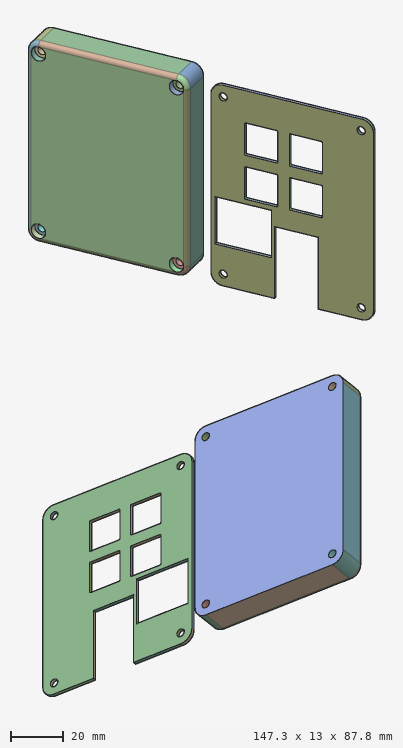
import cadquery as cq

screw_spacing_x = 58.6
screw_spacing_z = 76.7
screw_hole_diameter = 3.4

case_corner_radius = 5.0
case_width = screw_spacing_x + 2 * case_corner_radius
case_height = screw_spacing_z + 2 * case_corner_radius
case_depth = 13.0
case_edge_fillet = 1.9
counterbore_diameter = 6.0
counterbore_depth = 3.0

overall_width = 147.3
overall_height = 87.8
plate_width = 69.0
plate_height = 86.9
plate_thickness = 1.5
plate_corner_radius = 5.0
plate_center_x = overall_width - (case_width + plate_width) / 2
plate_center_z = overall_height - (case_height + plate_height) / 2

key_opening = 14.0
key_pitch = 19.0
key_corner_radius = 0.5
key_grid_x = -3.7
key_grid_z = 13.0

window_width = 23.9
window_height = 20.5
window_x = -20.8
window_z = -15.9

notch_width = 18.5
notch_x = 1.8
notch_top_z = -12.4


def front_plane(center_x=0, center_z=0):
    """Workplane on Y = 0 with local x along X, local y along Z and normal along -Y."""
    return cq.Workplane("XZ", origin=(center_x, 0, center_z))


def rounded_slab(sketch_plane, width, height, thickness, corner_radius):
    """Slab reaching from Y = 0 to Y = thickness, with rounded corners."""
    return sketch_plane.rect(width, height).extrude(-thickness).edges("|Y").fillet(corner_radius)


def screw_cylinders(sketch_plane, diameter, depth):
    """One cylinder at each screw position, sunk from the front face."""
    return (
        sketch_plane.rect(screw_spacing_x, screw_spacing_z, forConstruction=True)
        .vertices()
        .circle(diameter / 2)
        .extrude(-depth)
    )


def make_case():
    plane = front_plane()
    case = rounded_slab(plane, case_width, case_height, case_depth, case_corner_radius)
    case = case.faces("<Y").edges().fillet(case_edge_fillet)
    case = case.cut(screw_cylinders(plane, screw_hole_diameter, case_depth))
    return case.cut(screw_cylinders(plane, counterbore_diameter, counterbore_depth))


def make_cover_plate():
    plane = front_plane(plate_center_x, plate_center_z)
    plate = rounded_slab(plane, plate_width, plate_height, plate_thickness, plate_corner_radius)
    plate = plate.cut(screw_cylinders(plane, screw_hole_diameter, plate_thickness))

    key_openings = (
        plane.center(key_grid_x, key_grid_z)
        .rarray(key_pitch, key_pitch, 2, 2)
        .rect(key_opening, key_opening)
        .extrude(-plate_thickness)
        .edges("|Y")
        .fillet(key_corner_radius)
    )
    plate = plate.cut(key_openings)

    window_plane = front_plane(plate_center_x + window_x, plate_center_z + window_z)
    window = window_plane.rect(window_width, window_height).extrude(-plate_thickness)
    plate = plate.cut(window)

    notch_height = notch_top_z + plate_height / 2
    notch_center_z = plate_center_z + notch_top_z - notch_height / 2
    notch_plane = front_plane(plate_center_x + notch_x, notch_center_z)
    notch = notch_plane.rect(notch_width, notch_height).extrude(-plate_thickness)
    return plate.cut(notch)


case = make_case()
cover_plate = make_cover_plate()

result = cq.Compound.makeCompound([case.val(), cover_plate.val()])